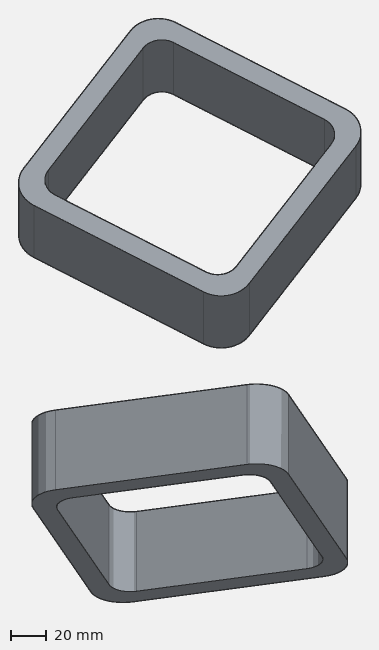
import cadquery as cq

outer_side = 150.0
height = outer_side / 3
wall = outer_side / 12
outer_radius = 18.8
inner_radius = 12.5
inner_side = outer_side - 2 * wall


def rounded_square_prism(side, corner_radius):
    """Upright square prism, centred on Z, with its vertical edges rounded."""
    return (
        cq.Workplane("XY")
        .rect(side, side)
        .extrude(height)
        .edges("|Z")
        .fillet(corner_radius)
    )


outer_body = rounded_square_prism(outer_side, outer_radius)
opening = rounded_square_prism(inner_side, inner_radius)

result = outer_body.cut(opening)